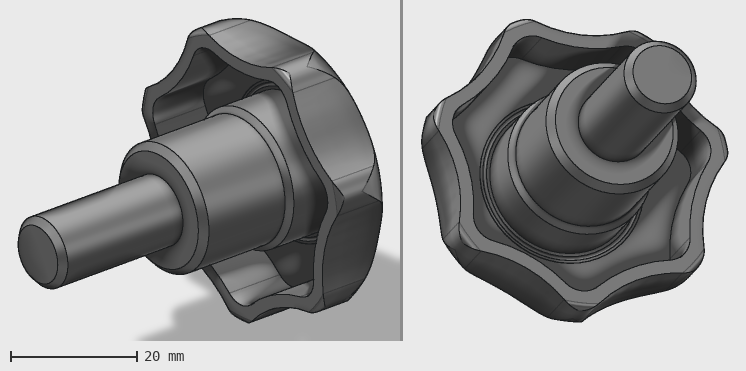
import cadquery as cq
import math


lobe_count = 7
lobe_pitch = 360 / lobe_count
head_radius = 50.0 / 2
waist_radius = 21.2
lobe_radius = 4.0
total_length = 57.0
head_height = 15.0
crown_radius = 71.25
shoulder_radius = 8.0
rim_fillet = 1.0

pocket_depth = 10.5
pocket_tip_radius = 21.95
pocket_waist_radius = 19.05

hub_base_radius = 24.0 / 2
hub_radius = 22.0 / 2
hub_length = 17.0
hub_step_height = hub_base_radius - hub_radius
hub_step_end = 0.0
hub_chamfer = 1.2
stud_radius = 12.0 / 2
stud_chamfer = 1.15
stud_end = head_height - total_length

collar_radius = 13.6
collar_height = 0.1
groove_outer_radius = 13.15
groove_inner_radius = 12.55


def polar(radius, degrees):
    angle = math.radians(degrees)
    return (radius * math.cos(angle), radius * math.sin(angle))


def toward(start, end, distance):
    """Point at a distance from start along the line to end."""
    ratio = distance / math.dist(start, end)
    return tuple(a + (b - a) * ratio for a, b in zip(start, end))


def star(tip_radius, valley_radius, depth):
    """Prism with rounded lobes joined by tangent concave arcs, one lobe at -Z."""
    lobe_center_radius = tip_radius - lobe_radius
    half_pitch = lobe_pitch / 2
    lobe_x, lobe_y = polar(lobe_center_radius, half_pitch)
    offset = valley_radius - lobe_x
    valley_arc = (lobe_y**2 + offset**2 - lobe_radius**2) / (2 * (lobe_radius - offset))
    valley_center_radius = valley_radius + valley_arc

    def tangent_point(lobe_angle, valley_angle):
        lobe_center = polar(lobe_center_radius, lobe_angle)
        valley_center = polar(valley_center_radius, valley_angle)
        return toward(lobe_center, valley_center, lobe_radius)

    first_angle = -90
    outline = cq.Workplane("XZ").moveTo(*tangent_point(first_angle, first_angle - half_pitch))
    for i in range(lobe_count):
        lobe_angle = first_angle + i * lobe_pitch
        valley_angle = lobe_angle + half_pitch
        lobe_end = tangent_point(lobe_angle, valley_angle)
        valley_end = tangent_point(lobe_angle + lobe_pitch, valley_angle)
        outline = outline.threePointArc(polar(tip_radius, lobe_angle), lobe_end)
        outline = outline.threePointArc(polar(valley_radius, valley_angle), valley_end)
    return outline.close().extrude(-depth)


def revolve_about_y(profile):
    return profile.close().revolve(360, (0, 0, 0), (0, 1, 0))


def head_blank():
    """Round head: shallow crown, tangent shoulder and rounded rim edge."""
    crown_center = (0, head_height - crown_radius)
    shoulder_x = head_radius - shoulder_radius
    rise = math.sqrt((crown_radius - shoulder_radius) ** 2 - shoulder_x**2)
    shoulder_center = (shoulder_x, crown_center[1] + rise)
    joint_angle = math.degrees(math.atan2(rise, shoulder_x))

    def shoulder_point(angle):
        x, y = polar(shoulder_radius, angle)
        return (shoulder_center[0] + x, shoulder_center[1] + y)

    crown_x, crown_y = polar(crown_radius, (joint_angle + 90) / 2)
    rim_x, rim_y = polar(rim_fillet, -45)
    profile = (
        cq.Workplane("XY")
        .lineTo(head_radius - rim_fillet, 0)
        .threePointArc(
            (head_radius - rim_fillet + rim_x, rim_fillet + rim_y), (head_radius, rim_fillet)
        )
        .lineTo(*shoulder_point(0))
        .threePointArc(shoulder_point(joint_angle / 2), shoulder_point(joint_angle))
        .threePointArc((crown_x, crown_center[1] + crown_y), (0, head_height))
    )
    return revolve_about_y(profile)


def hub_and_stud():
    """Grooved collar, stepped hub and chamfered stud, as one revolved profile."""
    root = (pocket_depth + head_height) / 2
    collar_face = pocket_depth - collar_height
    profile = (
        cq.Workplane("XY")
        .moveTo(0, root)
        .lineTo(collar_radius, root)
        .lineTo(collar_radius, collar_face)
        .lineTo(hub_base_radius, collar_face)
        .lineTo(hub_base_radius, hub_step_end + hub_step_height)
        .lineTo(hub_radius, hub_step_end)
        .lineTo(hub_radius, hub_chamfer - hub_length)
        .lineTo(hub_radius - hub_chamfer, -hub_length)
        .lineTo(stud_radius, -hub_length)
        .lineTo(stud_radius, stud_end + stud_chamfer)
        .lineTo(stud_radius - stud_chamfer, stud_end)
        .lineTo(0, stud_end)
    )
    return revolve_about_y(profile)


def collar_groove():
    """Ring cutter of round section, centered on the collar face."""
    section_radius = (groove_outer_radius - groove_inner_radius) / 2
    path_radius = groove_inner_radius + section_radius
    section = (
        cq.Workplane("XY").center(path_radius, pocket_depth - collar_height).circle(section_radius)
    )
    return section.revolve(360, (-path_radius, 0, 0), (-path_radius, 1, 0))


head = head_blank().intersect(star(head_radius, waist_radius, head_height))
pocket = star(pocket_tip_radius, pocket_waist_radius, pocket_depth)
result = head.cut(pocket).union(hub_and_stud()).cut(collar_groove())